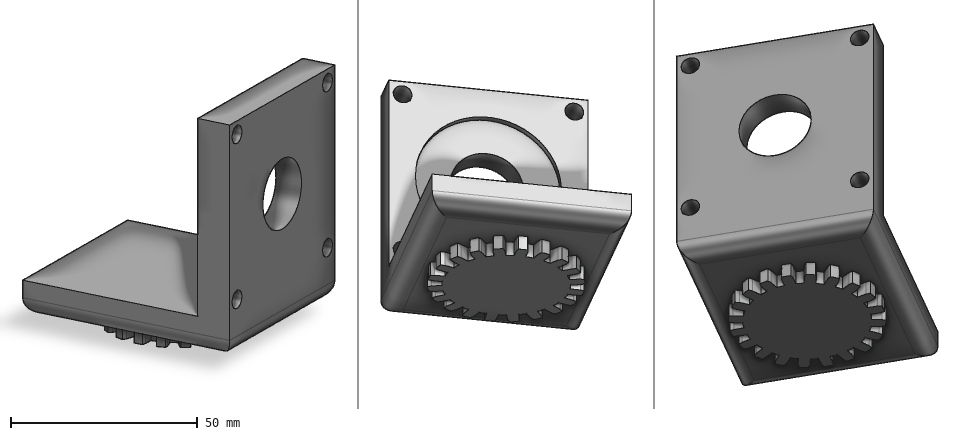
import cadquery as cq
import math

CENTERED_XY = (True, True, False)

LENGTH_X = 64.6
WIDTH_Y = 54.6
PLATE_THICKNESS = 10.0
BRACKET_HEIGHT = 66.4
BOTTOM_FILLET = 5.0

SEAT_DIAMETER = 40.0
SEAT_DEPTH = 2.0
BORE_DIAMETER = 20.0
BORE_Z = (BRACKET_HEIGHT + PLATE_THICKNESS) / 2

SCREW_DIAMETER = 5.1
SCREW_SPACING = 47.0
SCREW_Z = 39.0

TOOTH_COUNT = 20
GEAR_THICKNESS = 4.0
ROOT_RADIUS = 17.25
ROOT_HALF_ANGLE = 5.4
PITCH_RADIUS = 20.0
PITCH_HALF_ANGLE = 4.5
TIP_RADIUS = 21.1
TIP_HALF_ANGLE = 3.5


def wall_holes(diameter, depth, places):
    """Cylinders that run from the inner wall face in +X, at (y, z) places."""
    inner_face = cq.Workplane("YZ", origin=(LENGTH_X / 2 - PLATE_THICKNESS, 0, 0))
    return inner_face.pushPoints(places).circle(diameter / 2).extrude(depth)


def make_bracket():
    """L-shaped bracket standing on Z = 0, centred on X and Y."""
    base = cq.Workplane("XY").box(LENGTH_X, WIDTH_Y, PLATE_THICKNESS, centered=CENTERED_XY)
    base = base.faces("<Z").edges().fillet(BOTTOM_FILLET)
    wall = (
        cq.Workplane("XY", origin=(LENGTH_X / 2 - PLATE_THICKNESS / 2, 0, PLATE_THICKNESS))
        .box(PLATE_THICKNESS, WIDTH_Y, BRACKET_HEIGHT - PLATE_THICKNESS, centered=CENTERED_XY)
    )
    bracket = base.union(wall)

    bore_place = [(0, BORE_Z)]
    bracket = bracket.cut(wall_holes(SEAT_DIAMETER, SEAT_DEPTH, bore_place))
    bracket = bracket.cut(wall_holes(BORE_DIAMETER, PLATE_THICKNESS, bore_place))

    half = SCREW_SPACING / 2
    screw_places = [(y, SCREW_Z + dz) for y in (-half, half) for dz in (-half, half)]
    return bracket.cut(wall_holes(SCREW_DIAMETER, PLATE_THICKNESS, screw_places))


def polar_point(radius, degrees):
    """Point at a radius and an angle from the +X axis."""
    angle = math.radians(degrees)
    return (radius * math.cos(angle), radius * math.sin(angle))


def make_gear():
    """Spur gear hanging below the base plate, with a tooth on each axis and two straight faces per flank."""
    pitch_angle = 360 / TOOTH_COUNT
    outline = cq.Workplane("XY").moveTo(*polar_point(ROOT_RADIUS, -ROOT_HALF_ANGLE))
    for tooth in range(TOOTH_COUNT):
        middle = tooth * pitch_angle
        next_gap = middle + pitch_angle / 2
        next_tooth = middle + pitch_angle
        outline = (
            outline
            .lineTo(*polar_point(PITCH_RADIUS, middle - PITCH_HALF_ANGLE))
            .lineTo(*polar_point(TIP_RADIUS, middle - TIP_HALF_ANGLE))
            .threePointArc(polar_point(TIP_RADIUS, middle), polar_point(TIP_RADIUS, middle + TIP_HALF_ANGLE))
            .lineTo(*polar_point(PITCH_RADIUS, middle + PITCH_HALF_ANGLE))
            .lineTo(*polar_point(ROOT_RADIUS, middle + ROOT_HALF_ANGLE))
            .threePointArc(
                polar_point(ROOT_RADIUS, next_gap),
                polar_point(ROOT_RADIUS, next_tooth - ROOT_HALF_ANGLE),
            )
        )
    return outline.close().extrude(-GEAR_THICKNESS)


bracket = make_bracket()
gear = make_gear()
result = cq.Compound.makeCompound([bracket.val(), gear.val()])